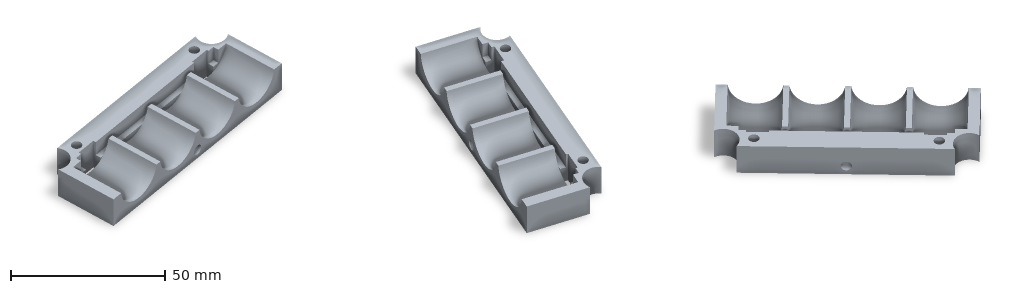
import cadquery as cq

depth = 30.0
length = 86.0
height = 11.5

cradle_count = 4
cradle_pitch = 20.0
cradle_width = 18.1
cradle_floor = 3.4
cradle_start = 9.9

recess_start = 7.8
recess_length = 70.2
recess_floor = 5.9
slot_length = 7.5
upper_slot_start, upper_slot_y = 7.05, 28.9
lower_slot_start, lower_slot_y = 6.8, -28.7

hole_diameter = 3.7
mount_hole_x = 3.95
mount_hole_y = 1.5 * cradle_pitch
cross_hole_z = 3.5

relief_radius = 5.3
upper_relief_x, upper_relief_inset = 3.0, 3.0
lower_relief_x, lower_relief_inset = 2.6, 3.2


def box_cut(x_start, x_end, y_centre, y_length, z_floor):
    """Cutter from z_floor to the top of the block."""
    size = (x_end - x_start, y_length, height - z_floor)
    cutter = cq.Workplane("XY").box(*size, centered=(False, True, False))
    return cutter.translate((x_start, y_centre, z_floor))


def upright_cylinder(x, y, radius):
    return cq.Workplane("XY").center(x, y).circle(radius).extrude(height)


def cradle(y_centre):
    """Circular-segment trough, full width at the top face."""
    half_width = cradle_width / 2
    return (
        cq.Workplane("YZ", origin=(cradle_start, y_centre, 0))
        .moveTo(-half_width, height)
        .threePointArc((0, cradle_floor), (half_width, height))
        .close()
        .extrude(depth - cradle_start)
    )


body = cq.Workplane("XY").box(depth, length, height, centered=(False, True, False))

for index in range(cradle_count):
    body = body.cut(cradle((index - (cradle_count - 1) / 2) * cradle_pitch))

body = body.cut(box_cut(recess_start, cradle_start, 0, recess_length, recess_floor))
body = body.cut(box_cut(upper_slot_start, cradle_start, upper_slot_y, slot_length, 0))
body = body.cut(box_cut(lower_slot_start, cradle_start, lower_slot_y, slot_length, 0))

upper_relief_y = length / 2 - upper_relief_inset
lower_relief_y = lower_relief_inset - length / 2
body = body.cut(upright_cylinder(upper_relief_x, upper_relief_y, relief_radius))
body = body.cut(upright_cylinder(lower_relief_x, lower_relief_y, relief_radius))

for side in (-1, 1):
    body = body.cut(upright_cylinder(mount_hole_x, side * mount_hole_y, hole_diameter / 2))

cross_hole = (
    cq.Workplane("YZ").center(0, cross_hole_z).circle(hole_diameter / 2).extrude(depth)
)
result = body.cut(cross_hole)